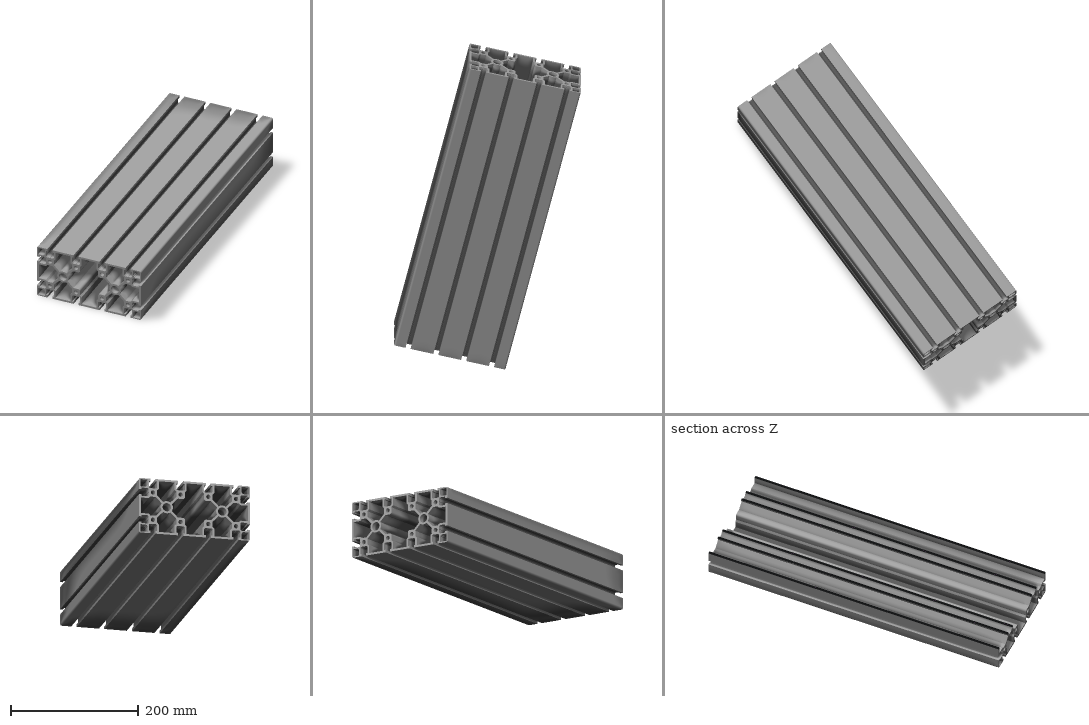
import cadquery as cq
import math

WIDTH = 180.0
LENGTH = 500.0
HEIGHT = 90.0

MODULE = 45.0
SLOT_OFFSET = MODULE / 2
EDGE_RADIUS = 3.0

SLOT_OPENING = 8.5
SLOT_CAVITY = 13.5
SLOT_DEPTH = 15.5
SLOT_FLOOR_CHAMFER = 1.5
LIP_THICKNESS = 4.25
GROOVE_WIDTH = 1.0
GROOVE_DEPTH = 0.5

SKIN = 3.25
SLOT_WALL = 3.0
CORNER_WALL = 2.0
CORNER_HOLLOW_CHAMFER = 3.0
WEB = 3.5
WEB_ANGLE = 45

BOSS_SIZE = 2 * (SLOT_OFFSET - SLOT_DEPTH)
BOSS_RADIUS = 3.5
SCREW_HOLE = 7.0
TUBE_BORE = 13.5
TUBE_OUTER = 20.0

BOSS_XS = [-1.5 * MODULE, -SLOT_OFFSET, SLOT_OFFSET, 1.5 * MODULE]
BOSS_POINTS = [(x, z) for x in BOSS_XS for z in (-SLOT_OFFSET, SLOT_OFFSET)]
TUBE_POINTS = [(-MODULE, 0), (MODULE, 0)]


def section():
    """Sketch plane of the cross-section: local x is X, local y is Z, at the -Y end."""
    return cq.Workplane("XZ", origin=(0, -LENGTH / 2, 0))


def extrude(sketch):
    """Run a cross-section along the whole length, towards +Y."""
    return sketch.extrude(-LENGTH)


def at_each_slot(half_outline):
    """Bars of a symmetric outline, given as (half width, depth) points, at all the slots."""
    outline = half_outline + [(-across, depth) for across, depth in reversed(half_outline) if across > 0]
    bars = cq.Workplane()
    for x in BOSS_XS:
        for side in (-1, 1):
            points = [(x + across, side * (HEIGHT / 2 - depth)) for across, depth in outline]
            bars = bars.add(extrude(section().polyline(points).close()))
    for z in (-SLOT_OFFSET, SLOT_OFFSET):
        for side in (-1, 1):
            points = [(side * (WIDTH / 2 - depth), z + across) for across, depth in outline]
            bars = bars.add(extrude(section().polyline(points).close()))
    return bars.combine()


def skin():
    """Rectangular outer tube with rounded outside corners."""
    outer = extrude(section().rect(WIDTH, HEIGHT)).edges("|Y").fillet(EDGE_RADIUS)
    return outer.cut(extrude(section().rect(WIDTH - 2 * SKIN, HEIGHT - 2 * SKIN)))


def slot_jackets():
    """Walls that start inside the skin and taper inwards onto the bosses below the slot floor."""
    half_cavity = SLOT_CAVITY / 2
    half_jacket = half_cavity + SLOT_WALL
    return at_each_slot([
        (half_jacket, SKIN / 2),
        (half_jacket, SLOT_DEPTH),
        (half_cavity, SLOT_DEPTH + SLOT_WALL),
    ])


def slots():
    """T-slots with chamfered floor corners and a shallow V-groove along the floor."""
    half_opening = SLOT_OPENING / 2
    half_cavity = SLOT_CAVITY / 2
    return at_each_slot([
        (half_opening, 0),
        (half_opening, LIP_THICKNESS),
        (half_cavity, LIP_THICKNESS),
        (half_cavity, SLOT_DEPTH - SLOT_FLOOR_CHAMFER),
        (half_cavity - SLOT_FLOOR_CHAMFER, SLOT_DEPTH),
        (GROOVE_WIDTH / 2, SLOT_DEPTH),
        (0, SLOT_DEPTH + GROOVE_DEPTH),
    ])


def bosses():
    """Square blocks with rounded corners, one under each slot floor."""
    blocks = extrude(section().pushPoints(BOSS_POINTS).rect(BOSS_SIZE, BOSS_SIZE))
    return blocks.edges("|Y").fillet(BOSS_RADIUS)


def webs():
    """Diagonal webs that cross at each tube and join the four bosses around it."""
    span = 2 * math.hypot(SLOT_OFFSET, SLOT_OFFSET)
    rising = extrude(section().pushPoints(TUBE_POINTS).slot2D(span, WEB, WEB_ANGLE))
    falling = extrude(section().pushPoints(TUBE_POINTS).slot2D(span, WEB, -WEB_ANGLE))
    return rising.union(falling)


def rods(points, diameter):
    """Full-length cylinders at the given points of the cross-section."""
    return extrude(section().pushPoints(points).circle(diameter / 2))


def corner_hollows():
    """Square hollows in the four corners, chamfered on the side facing the boss."""
    near = CORNER_WALL
    far = SLOT_OFFSET - SLOT_CAVITY / 2 - CORNER_WALL
    cut_back = far - CORNER_HOLLOW_CHAMFER
    outline = [(near, near), (far, near), (far, cut_back), (cut_back, far), (near, far)]
    hollows = cq.Workplane()
    for x_side in (-1, 1):
        for z_side in (-1, 1):
            points = [(x_side * (WIDTH / 2 - x), z_side * (HEIGHT / 2 - z)) for x, z in outline]
            hollows = hollows.add(extrude(section().polyline(points).close()))
    return hollows.combine()


body = skin().union(slot_jackets()).union(bosses()).union(webs()).union(rods(TUBE_POINTS, TUBE_OUTER))
body = body.cut(slots()).cut(corner_hollows())
result = body.cut(rods(BOSS_POINTS, SCREW_HOLE)).cut(rods(TUBE_POINTS, TUBE_BORE))